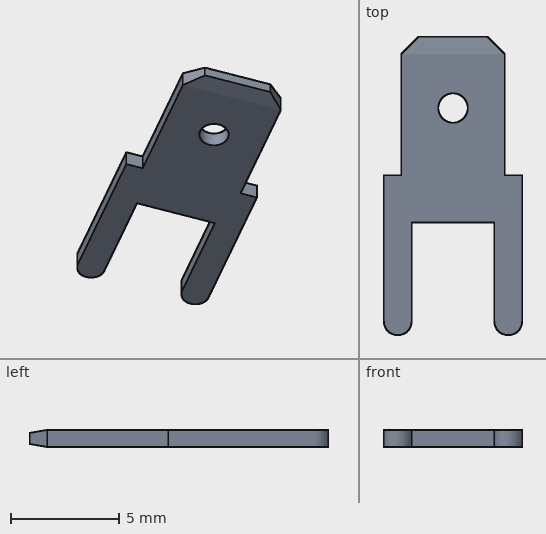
import cadquery as cq

length = 13.8
body_width = 6.4
thickness = 0.8

blade_width = 4.8
blade_length = 6.4
tip_length = 0.8
tip_thickness = 0.52
hole_diameter = 1.35
hole_from_tip = 3.3

leg_width = 1.3
leg_length = 5.2

half_body = body_width / 2
half_blade = blade_width / 2
half_tip = half_blade - tip_length
half_gap = half_body - leg_width
leg_radius = leg_width / 2
leg_center = half_body - leg_radius
shoulder_y = length - blade_length
tip_start_y = length - tip_length


def flat_blank():
    """Flat terminal outline, extruded to the sheet thickness."""
    return (
        cq.Workplane("XY")
        .moveTo(-half_tip, length)
        .lineTo(half_tip, length)
        .lineTo(half_blade, tip_start_y)
        .lineTo(half_blade, shoulder_y)
        .lineTo(half_body, shoulder_y)
        .lineTo(half_body, leg_radius)
        .threePointArc((leg_center, 0), (half_gap, leg_radius))
        .lineTo(half_gap, leg_length)
        .lineTo(-half_gap, leg_length)
        .lineTo(-half_gap, leg_radius)
        .threePointArc((-leg_center, 0), (-half_body, leg_radius))
        .lineTo(-half_body, shoulder_y)
        .lineTo(-half_blade, shoulder_y)
        .lineTo(-half_blade, tip_start_y)
        .close()
        .extrude(thickness)
    )


def side_envelope():
    """Side profile that thins the tip equally from both faces."""
    tip_bottom = (thickness - tip_thickness) / 2
    tip_top = thickness - tip_bottom
    return (
        cq.Workplane("YZ")
        .moveTo(0, 0)
        .lineTo(tip_start_y, 0)
        .lineTo(length, tip_bottom)
        .lineTo(length, tip_top)
        .lineTo(tip_start_y, thickness)
        .lineTo(0, thickness)
        .close()
        .extrude(half_body, both=True)
    )


def blade_hole():
    """Round detent hole through the blade."""
    return (
        cq.Workplane("XY")
        .center(0, length - hole_from_tip)
        .circle(hole_diameter / 2)
        .extrude(thickness)
    )


result = flat_blank().intersect(side_envelope()).cut(blade_hole())